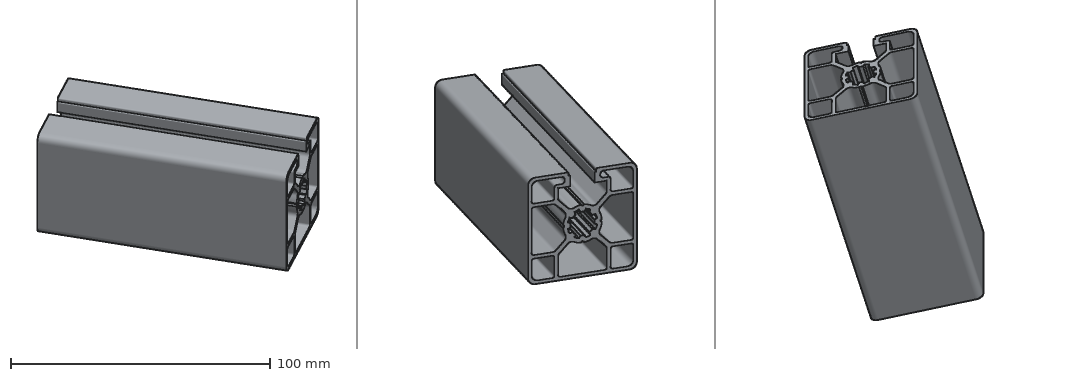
import cadquery as cq
import math

length = 100.0
side = 45.0
half_side = side / 2
wall = 1.5
inner_half = half_side - wall
outer_radius = 3.0
corner_cell_radius = 2.5
inner_fillet = 1.0

rib_inner = 10.1
rib_outer = rib_inner + wall
strut_offset = rib_outer - rib_inner
strut_fillet = 2.0

hub_radius = 8.0
hub_fillet = 2.0
groove_half_width = 0.8
groove_depth = 0.5

tooth_count = 8
bore_tip_radius = 5.0
bore_root_radius = 6.2
tooth_tip_half_angle = 9.5
tooth_root_half_angle = 13.5

slot_half_width = 5.0
slot_mouth_half_width = 5.7
mouth_depth = 1.5
shoulder_fillet = 0.4
mouth_fillet = 0.6
lip_height = 6.0
lip_bottom = half_side - lip_height
lip_cell_floor = lip_bottom + wall
lip_cell_end = 7.3
lip_cell_radius = (inner_half - lip_cell_floor) / 2
lip_bend_radius = 1.0


def profile():
    """Sketch plane of the cross-section: local x is +Y, local y is +Z."""
    return cq.Workplane("YZ").workplane(offset=-length / 2)


def extrude_outline(points):
    return profile().polyline(points).close().extrude(length)


def quarter_turns(body, turns):
    return body.rotate((0, 0, 0), (1, 0, 0), 90 * turns)


def near(y, z):
    """Selector for a lengthwise edge passing close to (y, z)."""
    reach = 0.2
    return cq.selectors.BoxSelector(
        (-length, y - reach, z - reach), (length, y + reach, z + reach)
    )


def side_channel(top):
    """Channel between two struts on the +Z side, from the hub up to the given height."""
    points = [
        (0, strut_offset),
        (rib_inner, rib_outer),
        (rib_inner, top),
        (-rib_inner, top),
        (-rib_inner, rib_outer),
    ]
    channel = extrude_outline(points)
    for sign in (-1, 1):
        channel = channel.edges(near(sign * rib_inner, rib_outer)).fillet(strut_fillet)
    channel = channel.cut(profile().circle(hub_radius).extrude(length))
    root = math.sqrt(2 * hub_radius**2 - strut_offset**2)
    meet_y = (root - strut_offset) / 2
    meet_z = (root + strut_offset) / 2
    for sign in (-1, 1):
        channel = channel.edges(near(sign * meet_y, meet_z)).fillet(hub_fillet)
    return channel


def closed_channel():
    channel = side_channel(inner_half)
    for sign in (-1, 1):
        channel = channel.edges(near(sign * rib_inner, inner_half)).fillet(inner_fillet)
    return channel


def slot_opening():
    """Stepped mouth of the T-slot, wider at the top."""
    shoulder_z = half_side - mouth_depth
    throat_height = shoulder_z - lip_bottom
    mouth_width = 2 * slot_mouth_half_width
    throat = (
        profile()
        .center(0, lip_bottom + throat_height / 2)
        .rect(2 * slot_half_width, throat_height)
        .extrude(length)
    )
    mouth = (
        profile()
        .center(0, shoulder_z + mouth_depth / 2)
        .rect(mouth_width, mouth_depth)
        .extrude(length)
    )
    return throat.union(mouth)


def lower_corner_cell():
    """Square hollow in the +Y -Z corner."""
    size = inner_half - rib_outer
    middle = (inner_half + rib_outer) / 2
    cell = profile().center(middle, -middle).rect(size, size).extrude(length)
    cell = cell.edges(near(inner_half, -inner_half)).fillet(corner_cell_radius)
    for y, z in ((rib_outer, -inner_half), (rib_outer, -rib_outer), (inner_half, -rib_outer)):
        cell = cell.edges(near(y, z)).fillet(inner_fillet)
    return cell


def upper_corner_cell():
    """L-shaped hollow in the +Y +Z corner, reaching over the slot lip."""
    points = [
        (rib_outer, rib_outer),
        (inner_half, rib_outer),
        (inner_half, inner_half),
        (lip_cell_end, inner_half),
        (lip_cell_end, lip_cell_floor),
        (rib_outer, lip_cell_floor),
    ]
    cell = extrude_outline(points)
    cell = cell.edges(near(inner_half, inner_half)).fillet(corner_cell_radius)
    cell = cell.edges(near(rib_outer, lip_cell_floor)).fillet(lip_bend_radius)
    for y in (rib_outer, inner_half):
        cell = cell.edges(near(y, rib_outer)).fillet(inner_fillet)
    end_middle = (inner_half + lip_cell_floor) / 2
    end_size = 2 * lip_cell_radius
    end_block = (
        profile()
        .center(lip_cell_end + lip_cell_radius / 2, end_middle)
        .rect(lip_cell_radius, end_size)
        .extrude(length)
    )
    end_round = (
        profile()
        .center(lip_cell_end + lip_cell_radius, end_middle)
        .circle(lip_cell_radius)
        .extrude(length)
    )
    return cell.cut(end_block).union(end_round)


def polar(radius, degrees):
    angle = math.radians(degrees)
    return (radius * math.cos(angle), radius * math.sin(angle))


def toothed_bore():
    pitch = 360 / tooth_count
    outline = profile().moveTo(*polar(bore_tip_radius, -tooth_tip_half_angle))
    for index in range(tooth_count):
        middle = index * pitch
        gap_middle = middle + pitch / 2
        next_tooth = middle + pitch
        outline = (
            outline.threePointArc(
                polar(bore_tip_radius, middle),
                polar(bore_tip_radius, middle + tooth_tip_half_angle),
            )
            .lineTo(*polar(bore_root_radius, middle + tooth_root_half_angle))
            .threePointArc(
                polar(bore_root_radius, gap_middle),
                polar(bore_root_radius, next_tooth - tooth_root_half_angle),
            )
        )
        if index < tooth_count - 1:
            outline = outline.lineTo(*polar(bore_tip_radius, next_tooth - tooth_tip_half_angle))
    return outline.close().extrude(length)


def hub_groove():
    """V-groove along the top of the hub."""
    points = [
        (0, hub_radius - groove_depth),
        (groove_half_width, hub_radius),
        (-groove_half_width, hub_radius),
    ]
    return extrude_outline(points)


body = profile().rect(side, side).extrude(length).edges("|X").fillet(outer_radius)

body = body.cut(side_channel(lip_bottom)).cut(slot_opening())
for sign in (-1, 1):
    mouth_edge = near(sign * slot_mouth_half_width, half_side)
    shoulder_edge = near(sign * slot_half_width, half_side - mouth_depth)
    body = body.edges(mouth_edge).fillet(mouth_fillet)
    body = body.edges(shoulder_edge).fillet(shoulder_fillet)
for turns in (1, 2, 3):
    body = body.cut(quarter_turns(closed_channel(), turns))
for turns in range(4):
    body = body.cut(quarter_turns(hub_groove(), turns))
for cell in (lower_corner_cell(), upper_corner_cell()):
    body = body.cut(cell).cut(cell.mirror("XZ"))

result = body.cut(toothed_bore())